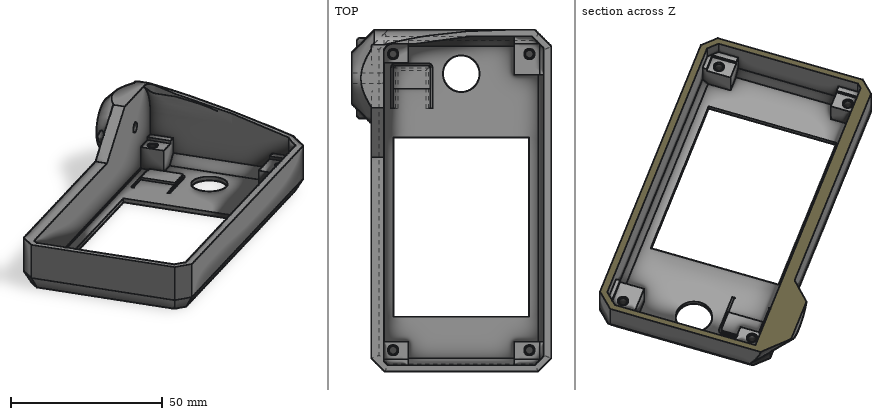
import cadquery as cq
import math


tray_width = 59.5
front_length = 96.86
knob_body_radius = 16.0
left = -tray_width / 2
right = tray_width / 2
front = -front_length
back = knob_body_radius
rim_height = 16.3
top_height = 30.0
taper_angle = 30.0
taper_slope = math.tan(math.radians(taper_angle))
taper_inset = 2.5
back_extension = 1.03
front_corner = 4.42
back_corner = front_corner + back_extension

axis_height = 18.46
flat_top_back = math.sqrt(knob_body_radius**2 - (top_height - axis_height) ** 2)
flat_top_front = -9.7
slope_front = -26.1
flat_top_right = -25.2
slope_right = 25.2

knob_reach = 6.43
knob_face_radius = 8.5
knob_depth = 12.5
axis_hole_diameter = 3.5
peg_angle = 45.0
peg_height = 2.25
peg_tip_radius = 0.6
peg_root = 1.5
peg_distance = 11.75

floor_thickness = 1.5
right_wall = 2.5
left_wall = 4.1
end_wall = 2.16
corner_wall = 2.25
floor_inset = 4.4
corner_floor_inset = 4.2
floor_chamfer_angle = 45.0
bore_radius = knob_body_radius - end_wall
opening_back = 11.3
opening_corner_radius = 3.0
opening_bend_x = -15.6
bore_end_x = 3.2

post_height = 10.2
seat_height = 9.2
seat_right = 25.85
seat_front = front + 4.03
post_inner_x = 17.5
front_post_y = front + 9.84
back_left_post_y = 5.1
back_right_post_y = 1.17
screw_spacing_x = 45.0
screw_front_y = front + 7.05
screw_back_y = 7.97
screw_diameter = 2.7
screw_mouth_diameter = 3.5
screw_depth = 6.0

round_hole_diameter = 12.0
round_hole_y = 1.46
window_width = 44.6
window_back = -19.6
window_front = front + 18.1

button_x = -16.34
button_half_width = 6.87
button_back = 4.91
button_root = -10.0
slit_width = 0.75
slit_corner_radius = 1.5
button_pad_front = -3.44
button_pad_height = 0.8


def block(x_min, x_max, y_min, y_max, z_min, z_max):
    size = (x_max - x_min, y_max - y_min, z_max - z_min)
    return cq.Workplane("XY").box(*size, centered=False).translate((x_min, y_min, z_min))


def tray_outline(inset_left, inset_right, inset_front, inset_back, inset_corner, z):
    """Tray rectangle with cut corners; every side and corner line is moved in by its own inset."""
    x_min = left + inset_left
    x_max = right - inset_right
    y_min = front + inset_front
    y_max = back - inset_back

    def leg(outer_leg, inset_x, inset_y):
        return outer_leg - inset_x - inset_y + inset_corner * math.sqrt(2)

    front_left = leg(front_corner, inset_left, inset_front)
    front_right = leg(front_corner, inset_right, inset_front)
    back_left = leg(back_corner, inset_left, inset_back)
    back_right = leg(back_corner, inset_right, inset_back)
    points = [
        (x_min + front_left, y_min),
        (x_max - front_right, y_min),
        (x_max, y_min + front_right),
        (x_max, y_max - back_right),
        (x_max - back_right, y_max),
        (x_min + back_left, y_max),
        (x_min, y_max - back_left),
        (x_min, y_min + front_left),
    ]
    return cq.Workplane("XY").workplane(offset=z).polyline(points).close()


def flared_tray(inset, inset_corner, z, slope):
    """Solid that widens by slope per unit of height above a chamfered outline at height z."""
    flare = (top_height - z) * slope
    bottom = tray_outline(inset, inset, inset, inset + back_extension, inset_corner, z)
    top_inset = inset - flare
    top_sides = (top_inset, top_inset, top_inset, top_inset + back_extension)
    top = tray_outline(*top_sides, inset_corner - flare, top_height)
    wires = [bottom.wire().val(), top.wire().val()]
    return cq.Workplane(cq.Solid.makeLoft(wires, ruled=True))


def make_side_envelope():
    """Side profile of the whole part: sloped underside at the back, round back, sloped top."""
    bottom_back = back - taper_inset - back_extension
    taper_top = (back - bottom_back) / taper_slope
    arc_angle = math.atan2(top_height - axis_height, flat_top_back) / 2
    arc_middle = (
        knob_body_radius * math.cos(arc_angle),
        axis_height + knob_body_radius * math.sin(arc_angle),
    )
    profile = (
        cq.Workplane("YZ", origin=(left - knob_reach, 0, 0))
        .moveTo(front, 0)
        .lineTo(bottom_back, 0)
        .lineTo(back, taper_top)
        .lineTo(back, axis_height)
        .threePointArc(arc_middle, (flat_top_back, top_height))
        .lineTo(flat_top_front, top_height)
        .lineTo(slope_front, rim_height)
        .lineTo(front, rim_height)
        .close()
    )
    return profile.extrude(knob_reach + tray_width)


def make_sloped_top_cutter():
    points = [
        (flat_top_right, top_height),
        (slope_right, rim_height),
        (right, rim_height),
        (right, top_height),
    ]
    return cq.Workplane("XZ", origin=(0, back, 0)).polyline(points).close().extrude(back - front)


def make_knob():
    """Cone that opens at 45 degrees from its flat face into the tray."""
    rim_radius = knob_face_radius + knob_depth
    points = [(0, 0), (0, -knob_face_radius), (knob_depth, -rim_radius), (knob_depth, 0)]
    cone = cq.Workplane("XZ").polyline(points).close().revolve(360, (0, 0, 0), (1, 0, 0))
    return cone.translate((left - knob_reach, 0, axis_height))


def make_body():
    tray = tray_outline(0, 0, 0, 0, 0, 0).extrude(top_height)
    tray = tray.intersect(flared_tray(taper_inset, taper_inset, 0, taper_slope))
    envelope = make_side_envelope()
    body = tray.intersect(envelope).union(make_knob().intersect(envelope))
    return body.cut(make_sloped_top_cutter())


def make_cavity():
    """Tray interior, rounded under the raised back wall and open upwards."""
    inner = tray_outline(left_wall, right_wall, end_wall, end_wall, corner_wall, floor_thickness)
    inner = inner.extrude(top_height - floor_thickness)
    floor_slope = math.tan(math.radians(floor_chamfer_angle))
    inner = inner.intersect(flared_tray(floor_inset, corner_floor_inset, floor_thickness, floor_slope))
    inner_left = left + left_wall
    inner_back = back - end_wall

    bore = (
        cq.Workplane("YZ", origin=(inner_left, 0, axis_height))
        .circle(bore_radius)
        .extrude(bore_end_x - inner_left)
    )
    opening_points = [
        (inner_left, front),
        (right, front),
        (right, inner_back),
        (bore_end_x, inner_back),
        (opening_bend_x, opening_back),
        (inner_left, opening_back),
    ]
    opening = cq.Workplane("XY").polyline(opening_points).close().extrude(top_height)
    back_left_corner = cq.selectors.NearestToPointSelector((inner_left, opening_back, top_height / 2))
    opening = opening.edges(back_left_corner).fillet(opening_corner_radius)

    lower = inner.intersect(block(left, right, front, back, 0, axis_height))
    square_corner = block(inner_left, opening_bend_x, opening_back, inner_back, post_height, axis_height)
    lower = lower.union(square_corner)
    return lower.union(inner.intersect(opening)).union(bore)


def make_posts(body_blank):
    """Corner posts filling the tray corners, with the board seat cut into their tops."""
    posts = block(left, -post_inner_x, front, front_post_y, 0, post_height)
    posts = posts.union(block(post_inner_x, right, front, front_post_y, 0, post_height))
    posts = posts.union(block(left, -post_inner_x, back_left_post_y, back, 0, post_height))
    posts = posts.union(block(post_inner_x, right, back_right_post_y, back, 0, post_height))
    inner_left = left + left_wall
    seat = block(inner_left, seat_right, seat_front, opening_back, seat_height, post_height)
    return posts.cut(seat).intersect(body_blank)


def make_screw_holes():
    mouth_depth = (screw_mouth_diameter - screw_diameter) / 2
    profile = [
        (0, seat_height),
        (screw_mouth_diameter / 2, seat_height),
        (screw_diameter / 2, seat_height - mouth_depth),
        (screw_diameter / 2, seat_height - screw_depth),
        (0, seat_height - screw_depth),
    ]
    hole = cq.Workplane("XZ").polyline(profile).close().revolve(360, (0, 0, 0), (0, 1, 0))
    holes = cq.Workplane("XY")
    for x in (-screw_spacing_x / 2, screw_spacing_x / 2):
        for y in (screw_front_y, screw_back_y):
            holes = holes.add(hole.translate((x, y, 0)))
    return holes.combine()


def make_floor_openings():
    half_window = window_width / 2
    window = block(-half_window, half_window, window_front, window_back, 0, floor_thickness)
    round_hole = (
        cq.Workplane("XY", origin=(0, round_hole_y, 0))
        .circle(round_hole_diameter / 2)
        .extrude(floor_thickness)
    )
    return window.union(round_hole)


def make_button_plug(inset):
    """Floor area inside the slit line, rounded at the back and narrowing downwards."""
    half_width = button_half_width - inset
    y_max = button_back - inset
    radius = slit_corner_radius - inset
    front_margin = floor_thickness
    outline = (
        cq.Workplane("XY", origin=(button_x, 0, floor_thickness))
        .moveTo(-half_width, button_root - front_margin)
        .lineTo(half_width, button_root - front_margin)
        .lineTo(half_width, y_max - radius)
        .radiusArc((half_width - radius, y_max), -radius)
        .lineTo(radius - half_width, y_max)
        .radiusArc((-half_width, y_max - radius), -radius)
        .close()
    )
    return outline.extrude(-floor_thickness, taper=floor_chamfer_angle)


def make_button_slit():
    slit = make_button_plug(0).cut(make_button_plug(slit_width))
    return slit.intersect(block(left, right, button_root, back, 0, floor_thickness))


def make_button_pad():
    half_width = button_half_width - slit_width
    pad = block(
        button_x - half_width,
        button_x + half_width,
        button_pad_front,
        button_back - slit_width,
        floor_thickness,
        floor_thickness + button_pad_height,
    )
    return pad.edges("|Z and >Y").fillet(slit_corner_radius - slit_width)


def make_pegs():
    """Pointed pegs standing square on the cone, in front of and behind the knob axis."""
    tip_height = peg_height - peg_tip_radius
    root_radius = peg_height + peg_root
    profile = [(0, -peg_root), (root_radius, -peg_root), (peg_tip_radius, tip_height), (0, tip_height)]
    peg = cq.Workplane("XZ").polyline(profile).close().revolve(360, (0, 0, 0), (0, 1, 0))
    foot_x = left - knob_reach + peg_distance - knob_face_radius
    pegs = cq.Workplane("XY")
    for side in (-1, 1):
        tilted = peg.rotate((0, 0, 0), (0, 1, 0), -90).rotate((0, 0, 0), (0, 0, 1), -peg_angle * side)
        pegs = pegs.add(tilted.translate((foot_x, side * peg_distance, axis_height)))
    return pegs.combine()


def make_axis_hole():
    hole = cq.Workplane("YZ", origin=(left - knob_reach, 0, axis_height))
    return hole.circle(axis_hole_diameter / 2).extrude(knob_reach + left_wall)


body_blank = make_body()
result = body_blank.cut(make_cavity()).union(make_posts(body_blank))
result = result.cut(make_screw_holes()).cut(make_floor_openings())
result = result.cut(make_button_slit()).union(make_button_pad())
result = result.union(make_pegs()).cut(make_axis_hole())